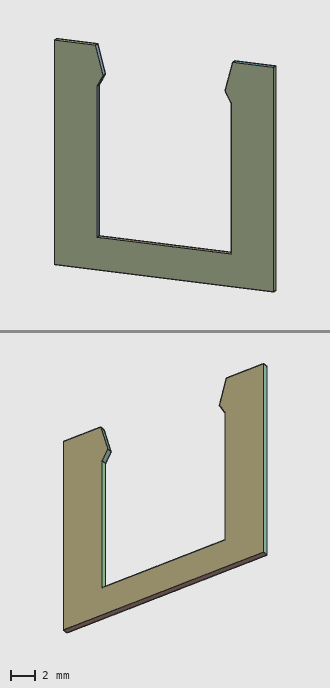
import cadquery as cq

width = 19.86
thickness = 0.52
height = 19.38

slot_width = 12.15
base_height = 2.82

mouth_width = 12.43
barb_gap = 11.05
barb_depth = 2.55
barb_root_depth = 3.54

right_half = [
    (slot_width / 2, base_height),
    (slot_width / 2, height - barb_root_depth),
    (barb_gap / 2, height - barb_depth),
    (mouth_width / 2, height),
    (width / 2, height),
    (width / 2, 0),
]
left_half = [(-x, z) for x, z in reversed(right_half)]

result = (
    cq.Workplane("XZ")
    .polyline(right_half + left_half)
    .close()
    .extrude(thickness / 2, both=True)
)